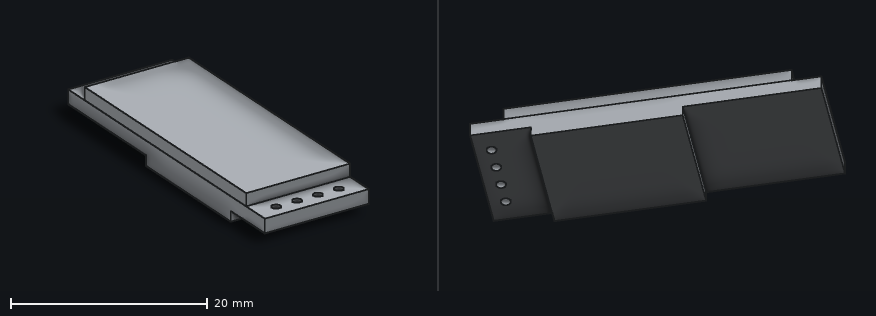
import cadquery as cq

board_length = 36.45
width = 12.7
board_thickness = 1.68

block_start = 14.4
block_length = 15.75
block_height = 1.2

screen_start = 3.1
screen_length = 29.9
total_height = 4.38
screen_thickness = total_height - board_thickness - block_height

hole_count = 4
hole_diameter = 1.02
hole_pitch = 2.55
hole_end_distance = 1.75
hole_x = board_length - hole_end_distance


def full_width_slab(start_x, bottom_z, length, height):
    """Plain slab across the full width, centred on Y = 0."""
    return cq.Workplane("XY").box(length, width, height, centered=(False, True, False)).translate(
        (start_x, 0, bottom_z)
    )


def make_board():
    """Circuit board with the block below it and a row of through holes."""
    plate = full_width_slab(0, 0, board_length, board_thickness)
    block = full_width_slab(block_start, -block_height, block_length, block_height)
    holes = (
        cq.Workplane("XY")
        .center(hole_x, 0)
        .rarray(0.35, hole_pitch, 1, hole_count)
        .circle(hole_diameter / 2)
        .extrude(board_thickness)
    )
    return plate.union(block).cut(holes).solids()


def make_screen():
    """Flat screen panel resting on the top of the board."""
    return full_width_slab(screen_start, board_thickness, screen_length, screen_thickness)


board = make_board()
screen = make_screen()

result = cq.Compound.makeCompound([board.val(), screen.val()])